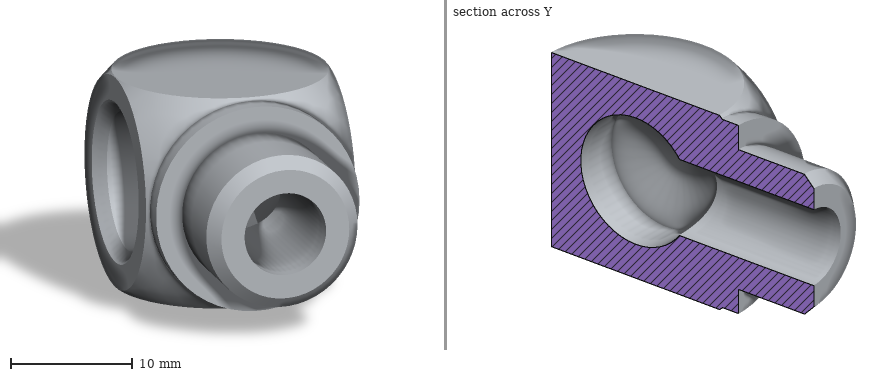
import cadquery as cq
import math

cube_side = 18.0
half_side = cube_side / 2
face_circle_radius = 8.95
ball_radius = math.hypot(half_side, face_circle_radius)

total_length = 28.0
body_length = 18.2
collar_width = 1.8
collar_radius = 8.75
spigot_radius = 6.5
spigot_chamfer = 1.0

body_end = body_length - half_side
collar_end = body_end + collar_width
spigot_end = total_length - half_side

inlet_radius = 5.82
inlet_chamfer = 1.0
inlet_depth = 13.0
drill_half_angle = 70.0

outlet_radius = 3.5


def make_body():
    block = cq.Workplane("XY").box(body_length, cube_side, cube_side)
    block = block.translate(((body_end - half_side) / 2, 0, 0))
    return block.intersect(cq.Workplane("XY").sphere(ball_radius))


def make_outlet():
    """Collar and chamfered spigot, turned about X."""
    return (
        cq.Workplane("XY")
        .lineTo(0, spigot_radius)
        .lineTo(body_end, spigot_radius)
        .lineTo(body_end, collar_radius)
        .lineTo(collar_end, collar_radius)
        .lineTo(collar_end, spigot_radius)
        .lineTo(spigot_end - spigot_chamfer, spigot_radius)
        .lineTo(spigot_end, spigot_radius - spigot_chamfer)
        .lineTo(spigot_end, 0)
        .close()
        .revolve(360, (0, 0, 0), (1, 0, 0))
    )


def make_inlet_bore():
    """Pointed bore along Y, opening through a chamfer on the -Y face."""
    mouth = -half_side
    floor = mouth + inlet_depth
    tip = floor + inlet_radius / math.tan(math.radians(drill_half_angle))
    return (
        cq.Workplane("XY")
        .moveTo(0, tip)
        .lineTo(inlet_radius, floor)
        .lineTo(inlet_radius, mouth + inlet_chamfer)
        .lineTo(inlet_radius + inlet_chamfer, mouth)
        .lineTo(0, mouth)
        .close()
        .revolve(360, (0, 0, 0), (0, 1, 0))
    )


def make_outlet_bore():
    return cq.Workplane("YZ").circle(outlet_radius).extrude(spigot_end)


result = make_body().union(make_outlet()).cut(make_inlet_bore()).cut(make_outlet_bore())